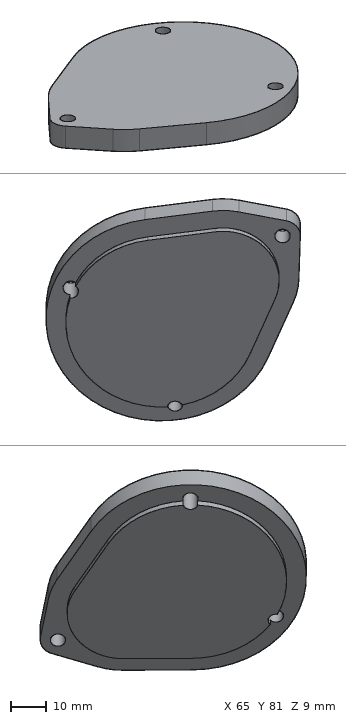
import cadquery as cq
import math

total_length = 81.0
total_thickness = 9.0
plate_radius = 32.5
pad_thickness = 2.0
rim_width = 5.6
nose_center_y = -22.2
taper_angle = 30.0
tip_radius = 5.0
hole_diameter = 4.3
upper_hole_distance = 27.45
upper_hole_angle = 30.0

plate_thickness = total_thickness - pad_thickness
pad_radius = plate_radius - rim_width
tip_center_y = plate_radius - total_length + tip_radius
cut_margin = 0.8


def teardrop(big_radius, small_radius, spacing, center_y, height):
    """Solid bounded by two circles on the Y axis and their outer tangents.

    The big circle is centred at center_y, the small one lies spacing below it.
    """
    tangent_sine = (big_radius - small_radius) / spacing
    tangent_cosine = math.sqrt(1 - tangent_sine**2)
    big_x = big_radius * tangent_cosine
    big_y = center_y - big_radius * tangent_sine
    small_x = small_radius * tangent_cosine
    small_y = center_y - spacing - small_radius * tangent_sine
    return (
        cq.Workplane("XY")
        .moveTo(big_x, big_y)
        .threePointArc((0, center_y + big_radius), (-big_x, big_y))
        .lineTo(-small_x, small_y)
        .threePointArc((0, center_y - spacing - small_radius), (small_x, small_y))
        .close()
        .extrude(height)
    )


def nose_radius(radius):
    """Radius of the nose that keeps the sides at the taper angle."""
    return radius + nose_center_y * math.sin(math.radians(taper_angle))


def body(radius, height):
    """Round end of the given radius tapering to its nose."""
    return teardrop(radius, nose_radius(radius), -nose_center_y, 0, height)


shoulder_radius = nose_radius(plate_radius)
tip = teardrop(
    shoulder_radius, tip_radius, nose_center_y - tip_center_y, nose_center_y, plate_thickness
)
plate = body(plate_radius, plate_thickness).union(tip)

pad = body(pad_radius, pad_thickness).translate((0, 0, -pad_thickness))

upper_hole_x = upper_hole_distance * math.cos(math.radians(upper_hole_angle))
upper_hole_y = upper_hole_distance * math.sin(math.radians(upper_hole_angle))
hole_centers = [
    (-upper_hole_x, upper_hole_y),
    (upper_hole_x, upper_hole_y),
    (0, tip_center_y),
]
holes = (
    cq.Workplane("XY", origin=(0, 0, -pad_thickness - cut_margin))
    .pushPoints(hole_centers)
    .circle(hole_diameter / 2)
    .extrude(total_thickness + 2 * cut_margin)
)

result = plate.union(pad).cut(holes)